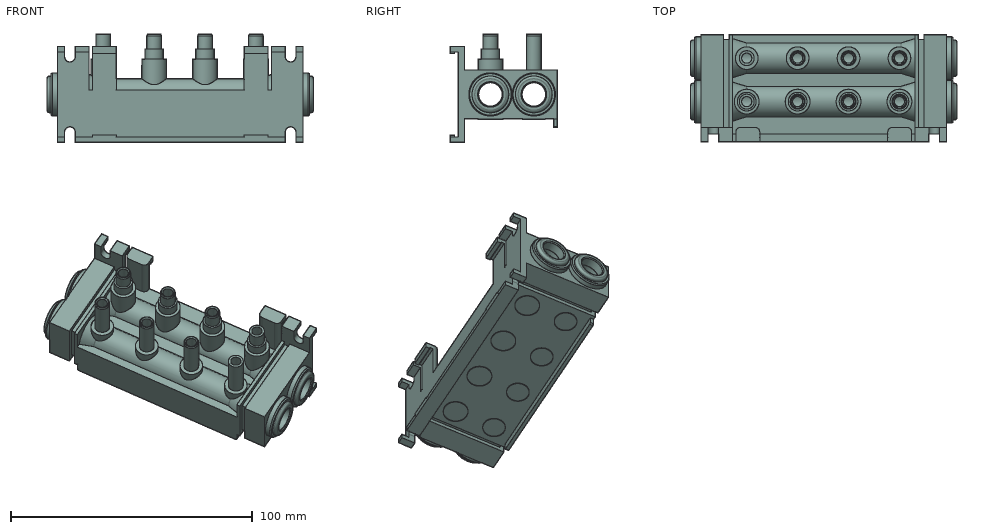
import cadquery as cq

total_length = 110.2
tube_top = 24.9
plate_half_height = 19.8

duct_pitch = 18.0
front_duct_y = -duct_pitch / 2
back_duct_y = duct_pitch / 2
duct_radius = 6.5
bore_radius = 4.8
cone_radius = 8.3
cone_start_x = 31.8

block_half_length = 50.8
block_half_height = 10.1
back_y = 18.7
groove_outer_x = 41.4
groove_inner_x = 39.1
groove_depth = 2.0
core_half_length = 37.7
web_top = 1.8

plate_back_y = -19.6
plate_thickness = 2.8
plate_front_y = plate_back_y - plate_thickness
hook_tip_y = -25.7
hook_thickness = 2.3
lip_depth = 1.9
lip_height = 0.7
notch_x = 45.6
notch_width = 4.3
notch_depth = 6.4
tab_inner_x = 26.5
tab_outer_x = 36.4
tab_corner_radius = 2.0
tab_width = tab_outer_x - tab_inner_x
tab_center_x = (tab_outer_x + tab_inner_x) / 2

flange_thickness = 1.5
flange_drop = 3.6
flange_corner_chamfer = 0.5

tube_pitch = 21.0
first_tube_x = -31.8
tube_count = 4
tube_radius = 3.1
tube_bore_radius = 2.1
tube_tip_length = 0.7
tube_tip_setback = 0.3
tube_lead_in = 0.5
front_boss_radius = 5.12
front_boss_top = 14.5
front_step_radius = 3.9
front_step_top = 18.8
back_boss_radius = 4.68
back_boss_top = 8.7
boss_foot = 0.3

collar_length = total_length / 2 - block_half_length
collar_flange_radius = 8.9
collar_flange_length = 2.6
collar_flange_chamfer_length = 0.7
collar_flange_chamfer_height = 0.3
collar_radius = 7.6
collar_mouth_chamfer = 0.4
collar_rounding = 1.1


def box(x0, x1, y0, y1, z0, z1):
    """Box between two opposite corners."""
    return cq.Workplane("XY").box(x1 - x0, y1 - y0, z1 - z0, centered=False).translate((x0, y0, z0))


def rod_x(radius, half_length, y):
    """Cylinder along X, centred on X = 0, at duct height."""
    return cq.Workplane("YZ").center(y, 0).circle(radius).extrude(half_length, both=True)


def rod_z(radius, x, y, z0, z1):
    """Upright cylinder."""
    return cq.Workplane("XY", origin=(x, y, z0)).circle(radius).extrude(z1 - z0)


def make_core():
    """Slab carrying the ducts, with a raised block at each end."""
    core = box(-block_half_length, block_half_length, plate_back_y, back_y, -block_half_height, block_half_height)
    return core.cut(
        box(-core_half_length, core_half_length, plate_back_y, back_y, web_top, block_half_height)
    )


def make_end_groove(side):
    """Cutter for the groove round the top, back and bottom behind one end block."""
    x0, x1 = sorted((side * groove_inner_x, side * groove_outer_x))
    ring = box(x0, x1, plate_back_y, back_y, -block_half_height, block_half_height)
    neck_half_height = block_half_height - groove_depth
    neck = box(x0, x1, plate_back_y, back_y - groove_depth, -neck_half_height, neck_half_height)
    return ring.cut(neck)


def make_duct(y):
    """Outside of one duct: a cylinder that flares to a cone at both ends."""
    profile = [
        (-core_half_length, 0),
        (-core_half_length, cone_radius),
        (-cone_start_x, duct_radius),
        (cone_start_x, duct_radius),
        (core_half_length, cone_radius),
        (core_half_length, 0),
    ]
    duct = cq.Workplane("XZ").polyline(profile).close().revolve(360, (0, 0, 0), (1, 0, 0))
    return duct.translate((0, y, 0))


def make_plate():
    """Mounting plate: full height at the ends, low in the middle, with a hook along each edge."""
    plate = box(
        -block_half_length, block_half_length,
        plate_front_y, plate_back_y, -plate_half_height, plate_half_height,
    )
    hook_top = plate_half_height - hook_thickness
    for z0, z1 in ((hook_top, plate_half_height), (-plate_half_height, -hook_top)):
        plate = plate.union(box(-block_half_length, block_half_length, hook_tip_y, plate_front_y, z0, z1))

    plate = plate.cut(
        box(-core_half_length, core_half_length, hook_tip_y, plate_back_y, web_top, plate_half_height)
    )

    notch_radius = notch_width / 2
    notch_end = plate_half_height - notch_depth + notch_radius
    for x in (-notch_x, notch_x):
        for z_end, z_edge in ((notch_end, plate_half_height), (-notch_end, -plate_half_height)):
            z0, z1 = sorted((z_end, z_edge))
            slot = box(x - notch_radius, x + notch_radius, hook_tip_y, plate_back_y, z0, z1)
            round_end = (
                cq.Workplane("XZ", origin=(0, plate_back_y, 0))
                .center(x, z_end)
                .circle(notch_radius)
                .extrude(plate_back_y - hook_tip_y)
            )
            plate = plate.cut(slot).cut(round_end)
    return plate


def make_tab(x):
    """Upright tab with a hook at its top and rounded rear corners."""
    x0 = x - tab_width / 2
    x1 = x + tab_width / 2
    tab = box(x0, x1, plate_front_y, plate_back_y, web_top, plate_half_height)
    tab = tab.edges("|Z and >Y").fillet(tab_corner_radius)
    return tab.union(
        box(x0, x1, hook_tip_y, plate_front_y, plate_half_height - hook_thickness, plate_half_height)
    )


def make_lips(x):
    """Lips inside the upper and lower hook tips at one tab."""
    lip_top = plate_half_height - hook_thickness
    lip_bottom = lip_top - lip_height
    lip_back_y = hook_tip_y + lip_depth
    x0 = x - tab_width / 2
    x1 = x + tab_width / 2
    upper = box(x0, x1, hook_tip_y, lip_back_y, lip_bottom, lip_top)
    lower = box(x0, x1, hook_tip_y, lip_back_y, -lip_top, -lip_bottom)
    return upper.union(lower)


def make_flange():
    """Thin flange hanging below the back of the core, with chamfered lower corners."""
    flange = box(
        -core_half_length, core_half_length,
        back_y - flange_thickness, back_y, -block_half_height - flange_drop, -block_half_height,
    )
    return flange.edges("|Y and <Z").chamfer(flange_corner_chamfer)


def make_tube(x, y, has_tapered_tip):
    """Outlet tube; a tapered tip narrows its outside just below the mouth."""
    if not has_tapered_tip:
        return rod_z(tube_radius, x, y, 0, tube_top)
    profile = [
        (0, 0),
        (tube_radius, 0),
        (tube_radius, tube_top - tube_tip_length),
        (tube_radius - tube_tip_setback, tube_top),
        (0, tube_top),
    ]
    tube = cq.Workplane("XZ").polyline(profile).close().revolve(360, (0, 0, 0), (0, 1, 0))
    return tube.translate((x, y, 0))


def make_tube_bore(x, y, has_lead_in):
    """Cutter from the tube mouth down into the duct bore, with an optional conical lead-in."""
    bore = rod_z(tube_bore_radius, x, y, 0, tube_top)
    if has_lead_in:
        mouth_radius = tube_bore_radius + tube_lead_in
        lead_in = cq.Workplane(
            cq.Solid.makeCone(
                tube_bore_radius, mouth_radius, tube_lead_in, cq.Vector(x, y, tube_top - tube_lead_in)
            )
        )
        bore = bore.union(lead_in)
    return bore


def make_housing():
    """Manifold housing in one piece with its plate, ducts and outlet tubes."""
    body = make_core().union(make_plate()).union(make_flange())
    for side in (-1, 1):
        body = body.cut(make_end_groove(side))
        body = body.union(make_tab(side * tab_center_x))
        body = body.union(make_lips(side * tab_center_x))

    for y in (front_duct_y, back_duct_y):
        body = body.union(make_duct(y))

    foot_z = -block_half_height - boss_foot
    tube_xs = [first_tube_x + i * tube_pitch for i in range(tube_count)]
    for x in tube_xs:
        is_tapered = x != first_tube_x
        body = body.union(rod_z(front_boss_radius, x, front_duct_y, foot_z, front_boss_top))
        body = body.union(rod_z(front_step_radius, x, front_duct_y, 0, front_step_top))
        body = body.union(rod_z(back_boss_radius, x, back_duct_y, foot_z, back_boss_top))
        for y in (front_duct_y, back_duct_y):
            body = body.union(make_tube(x, y, is_tapered))
            body = body.cut(make_tube_bore(x, y, is_tapered))

    for y in (front_duct_y, back_duct_y):
        body = body.cut(rod_x(bore_radius, block_half_length, y))
    return body


def make_collar(side, y):
    """Ring on one duct mouth: a chamfered flange, then a narrower rim with a rounded edge."""
    flange_chamfer_start = collar_flange_length - collar_flange_chamfer_length
    profile = (
        cq.Workplane("XZ")
        .moveTo(0, bore_radius)
        .lineTo(0, collar_flange_radius)
        .lineTo(flange_chamfer_start, collar_flange_radius)
        .lineTo(collar_flange_length, collar_flange_radius - collar_flange_chamfer_height)
        .lineTo(collar_flange_length, collar_radius)
        .lineTo(collar_length - collar_rounding, collar_radius)
        .radiusArc((collar_length, collar_radius - collar_rounding), collar_rounding)
        .lineTo(collar_length, bore_radius + collar_mouth_chamfer)
        .lineTo(collar_length - collar_mouth_chamfer, bore_radius)
        .close()
    )
    collar = profile.revolve(360, (0, 0, 0), (1, 0, 0))
    if side < 0:
        collar = collar.mirror("YZ")
    return collar.translate((side * block_half_length, y, 0))


housing = make_housing()
collars = [make_collar(side, y) for side in (-1, 1) for y in (front_duct_y, back_duct_y)]

result = cq.Compound.makeCompound([housing.val(), *[collar.val() for collar in collars]])